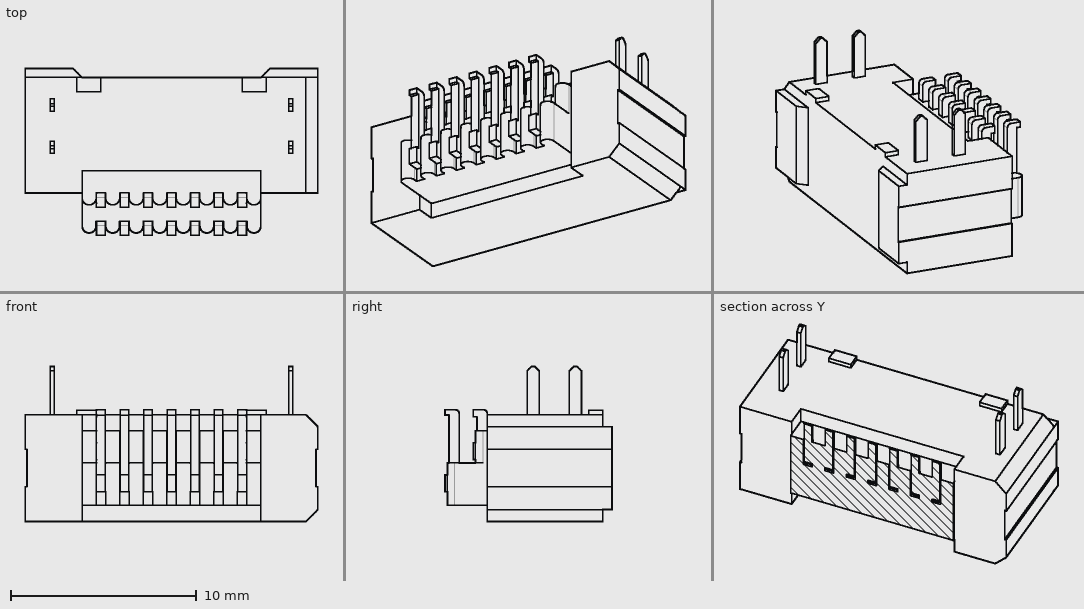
import cadquery as cq


housing_length = 15.77
housing_depth = 6.23
housing_height = 5.75
edge_chamfer = 0.65
side_groove_depth = 0.1
side_groove_bottom = 1.88
side_groove_top = 3.88

flange_depth = 0.49
flange_bottom = edge_chamfer
flange_top = housing_height - edge_chamfer

tab_length = 1.3
tab_depth = 0.77
tab_height = 0.24
tab_offset = 4.46

leg_thickness = 0.24
leg_width = 0.66
leg_top = 8.36
leg_tip_chamfer = 0.25
leg_offset = 6.42
leg_rows = (2.48, 4.75)

contact_count = 7
contact_span = 7.6
pitch = contact_span / (contact_count - 1)
contact_positions = [(i - (contact_count - 1) / 2) * pitch for i in range(contact_count)]
lobe_count = contact_count + 1
lobe_positions = [(i - (lobe_count - 1) / 2) * pitch for i in range(lobe_count)]

slot_width = 0.5
slot_depth = 0.63
lobe_radius = (pitch - slot_width) / 2
block_width = lobe_count * pitch - slot_width
block_back = 1.2
block_bottom = 0.87
lower_step_top = 3.15
upper_step_top = 4.89
lower_step_front = -2.15
row_spacing = 1.51
upper_step_front = lower_step_front + row_spacing

contact_width = 0.47
contact_thickness = 0.57
contact_setback = 0.08
contact_top = 6.02
bend_diameter = 0.45
lip_length = 0.2
lower_lip_height = 0.3
upper_lip_height = 0.4
pad_height = 0.91
pad_drop = 0.65


def box(x_min, x_max, y_min, y_max, z_min, z_max):
    """Block between the given limits."""
    size = (x_max - x_min, y_max - y_min, z_max - z_min)
    return cq.Workplane("XY").box(*size, centered=False).translate((x_min, y_min, z_min))


def make_shell():
    """Plain housing body with one chamfered end, side grooves and a front recess for the block."""
    half_length = housing_length / 2
    back = housing_depth + flange_depth
    body = box(-half_length, half_length, 0, housing_depth, 0, housing_height)

    for side in (-1, 1):
        outline = [
            (side * half_length, housing_depth),
            (side * half_length, back),
            (side * (block_width / 2 + flange_depth), back),
            (side * block_width / 2, housing_depth),
        ]
        flange = cq.Workplane("XY").polyline(outline).close().extrude(flange_top - flange_bottom)
        body = body.union(flange.translate((0, 0, flange_bottom)))

    for edge_z, inward in ((0, 1), (housing_height, -1)):
        corner = [
            (half_length, edge_z),
            (half_length - edge_chamfer, edge_z),
            (half_length, edge_z + inward * edge_chamfer),
        ]
        body = body.cut(cq.Workplane("XZ").polyline(corner).close().extrude(-back))

    for side in (-1, 1):
        groove = cq.Workplane("XY").box(
            2 * side_groove_depth, back, side_groove_top - side_groove_bottom, centered=(True, False, False)
        )
        body = body.cut(groove.translate((side * half_length, 0, side_groove_bottom)))

    recess = box(-block_width / 2, block_width / 2, 0, block_back, 0, housing_height)
    return body.cut(recess)


def make_tab(x):
    """Locating tab at the back edge of the top face."""
    return box(
        x - tab_length / 2,
        x + tab_length / 2,
        housing_depth - tab_depth,
        housing_depth,
        housing_height,
        housing_height + tab_height,
    )


def make_leg(x, y):
    """Flat solder leg with a bevelled tip."""
    leg = box(
        x - leg_thickness / 2,
        x + leg_thickness / 2,
        y - leg_width / 2,
        y + leg_width / 2,
        housing_height,
        leg_top,
    )
    return leg.edges(">Z and |X").chamfer(leg_tip_chamfer)


def make_housing():
    """Housing with its tabs and solder legs."""
    body = make_shell()
    for side in (-1, 1):
        body = body.union(make_tab(side * tab_offset))
        for row_y in leg_rows:
            body = body.union(make_leg(side * leg_offset, row_y))
    return body


def make_step(front, bottom, top):
    """One step of the block: a bar with slots between the round lobes of its front."""
    lobe_centre = front + lobe_radius
    slot_floor = front + slot_depth
    step = box(-block_width / 2, block_width / 2, slot_floor, block_back, bottom, top)
    for x in lobe_positions:
        rib = box(x - lobe_radius, x + lobe_radius, lobe_centre, slot_floor, bottom, top)
        nose = cq.Workplane("XY").center(x, lobe_centre).circle(lobe_radius).extrude(top - bottom)
        step = step.union(rib).union(nose.translate((0, 0, bottom)))
    return step


def make_contact(x, step_front, step_top, lip_height):
    """Upright contact with a rounded back corner, a forward lip on top and a pad low on its front."""
    front = step_front + contact_setback
    back = front + contact_thickness
    lip_front = front - lip_length
    pad_top = step_top - pad_drop
    pad_bottom = pad_top - pad_height
    left = x - contact_width / 2
    right = x + contact_width / 2
    post = box(left, right, front, back, pad_bottom, contact_top)
    post = post.edges(">Y and >Z").fillet(bend_diameter / 2)
    lip = box(left, right, lip_front, front, contact_top - lip_height, contact_top)
    pad = box(left, right, lip_front, front, pad_bottom, pad_top)
    return post.union(lip).union(pad)


def make_contact_block():
    """Stepped block together with its two rows of contacts."""
    body = make_step(lower_step_front, block_bottom, lower_step_top)
    body = body.union(make_step(upper_step_front, lower_step_top, upper_step_top))
    rows = (
        (lower_step_front, lower_step_top, lower_lip_height),
        (upper_step_front, upper_step_top, upper_lip_height),
    )
    for step_front, step_top, lip_height in rows:
        for x in contact_positions:
            body = body.union(make_contact(x, step_front, step_top, lip_height))
    return body


housing = make_housing()
contact_block = make_contact_block()

result = cq.Compound.makeCompound([housing.val(), contact_block.val()])